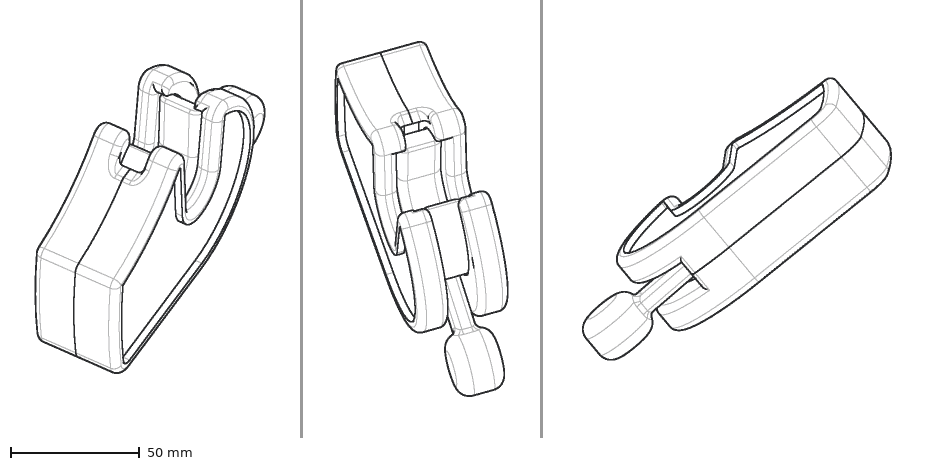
import cadquery as cq
import math

housing_width = 37.0
half_width = housing_width / 2
total_height = 85.2

groove_z = 50.3
groove_radius = 10.0
rear_wall_lean = 7.0
front_wall_lean = 2.7
tip_radius = 5.7

back_radius = 42.8
back_y = 0.4

top_curve_start = 42.5
nose_y, nose_z = -66.0, 60.0
nose_radius = 3.3
front_y, front_z = -67.5, 34.8
heel_y = -64.6
heel_radius = 10.0

edge_radius = 3.0
rim_width = 5.0
recess_depth = 3.0

lever_radius = 29.2
lever_half_width = 9.0
lever_slot_radius = 12.5
lever_slot_y = -0.5
lever_slot_lean = 2.0
lever_edge_radius = 3.5
lever_lip_radius = 1.0

knob_radius = 12.5
knob_y, knob_z = 56.3, 22.2
knob_width = 19.2
knob_edge_radius = 5.5
stem_width = 8.0
stem_height = 13.5
stem_length = 42.2
stem_lean = 12.0
stem_edge_radius = 2.0
neck_radius = 3.0

radial_clearance = 0.5
side_clearance = 1.0
cavity_radius = lever_radius + radial_clearance
cavity_half_width = lever_half_width + side_clearance
slot_half_width = 6.0
slot_radius = 34.6
slot_floor_z = 75.8
slot_corner_radius = 2.7
stem_slot_y = 19.1
mouth_edge_radius = 2.7

margin = 1.4
tolerance = 0.001


def direction(degrees):
    return math.cos(math.radians(degrees)), math.sin(math.radians(degrees))


def offset(point, degrees, distance):
    dy, dz = direction(degrees)
    return point[0] + distance * dy, point[1] + distance * dz


def arm_tip_centers():
    """Centres of the two tip circles, each tangent to its groove wall."""
    reach = groove_radius + tip_radius
    front_center_z = total_height - tip_radius
    lean_y, lean_z = direction(front_wall_lean)
    front_center_y = -(reach + (front_center_z - groove_z) * lean_z) / lean_y
    foot_y, foot_z = offset((0, groove_z), -rear_wall_lean, reach)
    wall_y, wall_z = direction(90 - rear_wall_lean)
    to_foot_y = foot_y - back_y
    to_foot_z = foot_z - back_radius
    along = to_foot_y * wall_y + to_foot_z * wall_z
    gap = to_foot_y**2 + to_foot_z**2 - (back_radius - tip_radius) ** 2
    rise = -along + math.sqrt(along**2 - gap)
    rear_center = (foot_y + rise * wall_y, foot_z + rise * wall_z)
    return rear_center, (front_center_y, front_center_z)


def outline(x):
    """Closed side outline of the housing in the plane at the given X."""
    groove = (0, groove_z)
    rear_tip, front_tip = arm_tip_centers()
    back_angle = math.degrees(math.atan2(rear_tip[1] - back_radius, rear_tip[0] - back_y))
    rear_inner = 180 - rear_wall_lean
    front_inner = front_wall_lean
    return (
        cq.Workplane("YZ", origin=(x, 0, 0))
        .moveTo(back_y, 0)
        .threePointArc((back_y + back_radius, back_radius), offset(rear_tip, back_angle, tip_radius))
        .threePointArc(
            offset(rear_tip, (back_angle + rear_inner) / 2, tip_radius),
            offset(rear_tip, rear_inner, tip_radius),
        )
        .lineTo(*offset(groove, -rear_wall_lean, groove_radius))
        .threePointArc((0, groove_z - groove_radius), offset(groove, 180 + front_wall_lean, groove_radius))
        .lineTo(*offset(front_tip, front_inner, tip_radius))
        .threePointArc(
            offset(front_tip, 90, tip_radius), offset(front_tip, 180 - top_curve_start, tip_radius)
        )
        .tangentArcPoint((nose_y, nose_z), relative=False)
        .threePointArc((front_y, front_z), (heel_y, 0))
        .close()
    )


def disc(radius, disc_half_width):
    """Disc about the groove axis, centred on X = 0."""
    return (
        cq.Workplane("YZ", origin=(-disc_half_width, 0, 0))
        .center(0, groove_z)
        .circle(radius)
        .extrude(2 * disc_half_width)
    )


def corner_edges(solid, y, z):
    """The edges along X near the given Y and Z."""
    box = cq.selectors.BoxSelector(
        (-half_width, y - margin, z - margin), (half_width, y + margin, z + margin)
    )
    return solid.edges("|X").edges(box)


def shell_half():
    """Left half of the housing without its inner spaces."""
    half = outline(-half_width).extrude(half_width)
    half = corner_edges(half, nose_y, nose_z).fillet(nose_radius)
    half = corner_edges(half, heel_y, 0).fillet(heel_radius)
    recess_wire = half.faces("<X").wires().val().offset2D(-rim_width)[0]
    recess = cq.Solid.extrudeLinear(recess_wire, [], cq.Vector(recess_depth, 0, 0))
    return half.faces("<X").edges().fillet(edge_radius).cut(cq.Workplane(recess))


def slot_block(y_min, y_max, z_min, z_max):
    """Block as wide as the narrow slot."""
    return cq.Workplane("XY", origin=(0, y_min, z_min)).box(
        2 * slot_half_width, y_max - y_min, z_max - z_min, centered=(True, False, False)
    )


def inner_spaces():
    """Lever cavity, and the narrow slot in which the stem swings."""
    behind = back_y + back_radius + margin
    above = total_height + margin
    front_notch = slot_block(front_y, 0, slot_floor_z, above)
    front_notch = front_notch.edges("|Y and <Z").fillet(slot_corner_radius)
    return (
        disc(cavity_radius, cavity_half_width)
        .union(disc(slot_radius, slot_half_width))
        .union(slot_block(0, behind, groove_z, above))
        .union(slot_block(stem_slot_y, behind, -margin, groove_z))
        .union(front_notch)
    )


def housing_half():
    """Left half with its inner spaces, rounded where they break through the outside."""
    shell = shell_half()
    half = shell.cut(inner_spaces())
    outer_faces = [
        face for face in shell.faces().vals() if -half_width + tolerance < face.Center().x < -tolerance
    ]
    mouth = []
    for edge in half.edges().vals():
        box = edge.BoundingBox()
        inside = box.xmin > -cavity_half_width - tolerance and box.xmin < -tolerance
        middle = cq.Vertex.makeVertex(*edge.positionAt(0.5).toTuple())
        if inside and min(face.distance(middle) for face in outer_faces) < tolerance:
            mouth.append(edge)
    return half.newObject(mouth).fillet(mouth_edge_radius)


def lever_plate():
    """Disc with a rounded-edge groove that lines up with the housing groove."""
    reach = 2 * lever_radius
    grooved_block = (
        cq.Workplane("YZ", origin=(-lever_half_width, 0, 0))
        .moveTo(-lever_slot_radius, reach)
        .lineTo(-lever_slot_radius, 0)
        .threePointArc((0, -lever_slot_radius), (lever_slot_radius, 0))
        .lineTo(lever_slot_radius, reach)
        .lineTo(reach, reach)
        .lineTo(reach, -reach)
        .lineTo(-reach, -reach)
        .lineTo(-reach, reach)
        .close()
        .extrude(2 * lever_half_width)
    )
    groove_reach = lever_slot_radius + margin
    groove_box = cq.selectors.BoxSelector(
        (-reach, -groove_reach, -groove_reach), (reach, groove_reach, reach - margin)
    )
    grooved_block = (
        grooved_block.faces("<X or >X")
        .edges(groove_box)
        .fillet(lever_edge_radius)
        .rotate((0, 0, 0), (1, 0, 0), -lever_slot_lean)
        .translate((0, lever_slot_y, groove_z))
    )
    plate = disc(lever_radius, lever_half_width).intersect(grooved_block)
    rear_lip = plate.edges("|X").filter(
        lambda edge: edge.Center().z > groove_z + lever_slot_radius and edge.Center().y > 0
    )
    return rear_lip.fillet(lever_lip_radius)


def knob_and_stem():
    """Round knob on a stem, with a rounded neck where they meet."""
    knob = (
        cq.Workplane("YZ", origin=(-knob_width / 2, knob_y, knob_z))
        .circle(knob_radius)
        .extrude(knob_width)
        .edges()
        .fillet(knob_edge_radius)
    )
    stem = (
        cq.Workplane("XY")
        .box(stem_width, stem_length, stem_height)
        .edges("|Y")
        .fillet(stem_edge_radius)
        .translate((0, -stem_length / 2, 0))
        .rotate((0, 0, 0), (1, 0, 0), -stem_lean)
        .translate((0, knob_y, knob_z))
    )

    def at_neck(edge):
        center = edge.Center()
        from_knob = math.hypot(center.y - knob_y, center.z - knob_z)
        on_knob = abs(from_knob - knob_radius) < margin / 2
        within_stem = abs(center.x) < stem_width / 2 + tolerance
        return on_knob and within_stem and center.y < knob_y - knob_radius / 2

    return knob.union(stem).edges().filter(at_neck).fillet(neck_radius)


left_half = housing_half()
right_half = left_half.mirror("YZ")
lever = lever_plate().union(knob_and_stem())

result = cq.Compound.makeCompound([left_half.val(), right_half.val(), lever.val()])